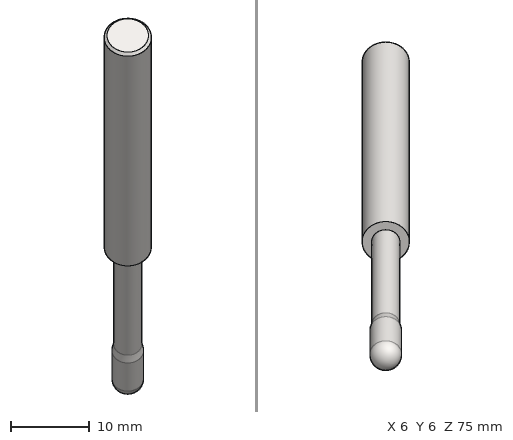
import cadquery as cq

total_length = 75.0

shank_radius = 3.0
shank_length = 45.0
shank_chamfer = 0.4

neck_radius = 1.8
head_radius = 2.0
head_length = 8.0
head_taper_length = 1.35

tip_z = -total_length / 2
top_z = total_length / 2
ball_center_z = tip_z + head_radius
head_top_z = tip_z + head_length
neck_bottom_z = head_top_z + head_taper_length
shank_bottom_z = top_z - shank_length

ball_mid_offset = head_radius / 2**0.5

profile = (
    cq.Workplane("XZ")
    .moveTo(0, tip_z)
    .threePointArc(
        (ball_mid_offset, ball_center_z - ball_mid_offset),
        (head_radius, ball_center_z),
    )
    .lineTo(head_radius, head_top_z)
    .lineTo(neck_radius, neck_bottom_z)
    .lineTo(neck_radius, shank_bottom_z)
    .lineTo(shank_radius, shank_bottom_z)
    .lineTo(shank_radius, top_z - shank_chamfer)
    .lineTo(shank_radius - shank_chamfer, top_z)
    .lineTo(0, top_z)
    .close()
)

result = profile.revolve(360, (0, 0, 0), (0, 1, 0))